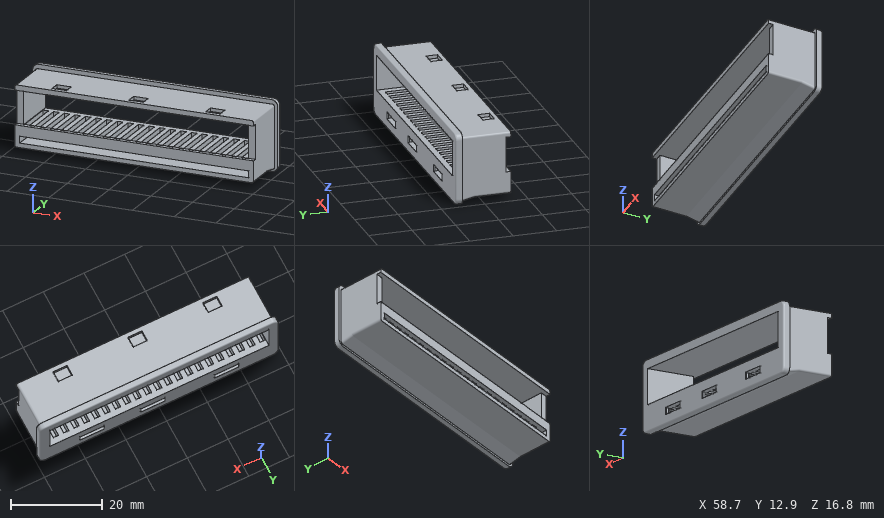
import cadquery as cq

FLANGE_WIDTH = 58.74
FLANGE_HEIGHT = 16.8
FLANGE_THICKNESS = 1.55
FLANGE_CORNER_RADIUS = 1.5
FLANGE_EDGE_RADIUS = 0.4
FLANGE_DRAFT_ANGLE = 1
FLANGE_SIDE_OVERHANG = 0.77

TOTAL_DEPTH = 12.93
BODY_DEPTH = TOTAL_DEPTH - FLANGE_THICKNESS
BODY_WIDTH = FLANGE_WIDTH - 2 * FLANGE_SIDE_OVERHANG
BODY_TOP = 15.75
BODY_BOTTOM = 1.2
BODY_CORNER_RADIUS = 0.55
RAMP_START = 8.3
RAMP_BOTTOM = 0.53

OPENING_WIDTH = 53.8
OPENING_TOP = 14.5
LIP_TOP = 6.4
LIP_THICKNESS = 1.1
FLOOR_DROP = 0.1
FLOOR_TOP = LIP_TOP - FLOOR_DROP

SLOT_WIDTH = 54.8
SLOT_TOP = 3.9
SLOT_BOTTOM = 2.3
SLOT_DEPTH = BODY_DEPTH

WINDOW_CENTRES = (-16.53, 1.55, 16.53)
WINDOW_REAR_WIDTH = 5.85
WINDOW_THROAT_WIDTH = 6.4
FLARE_WIDTH = 8.5
FLARE_DEPTH = 0.55
REAR_TAPER_DEPTH = 0.4

SLIT_COUNT = 21
SLIT_PITCH = 2.54
SLIT_WIDTH = SLIT_PITCH / 2
SLIT_SHIFT = -0.77

POCKET_SPACING = 18.4
POCKET_WIDTH = 3.4
POCKET_LENGTH = 2.6
POCKET_DEPTH = 0.8
POCKET_FRONT = 1.1


def block(x_centre, width, y_front, y_rear, z_bottom, z_top):
    size = (width, y_rear - y_front, z_top - z_bottom)
    base_point = (x_centre, y_front, z_bottom)
    return cq.Workplane("XY", origin=base_point).box(*size, centered=(True, False, False))


def make_flange():
    outline = cq.Workplane("XZ", origin=(0, BODY_DEPTH, FLANGE_HEIGHT / 2)).rect(FLANGE_WIDTH, FLANGE_HEIGHT)
    flange = outline.extrude(-FLANGE_THICKNESS, taper=FLANGE_DRAFT_ANGLE)
    flange = flange.edges("not(|X or |Z)").fillet(FLANGE_CORNER_RADIUS)
    return flange.faces(">Y").edges().fillet(FLANGE_EDGE_RADIUS)


def make_body():
    profile = [
        (0, BODY_BOTTOM),
        (RAMP_START, BODY_BOTTOM),
        (BODY_DEPTH, RAMP_BOTTOM),
        (BODY_DEPTH, BODY_TOP),
        (0, BODY_TOP),
    ]
    body = cq.Workplane("YZ").polyline(profile).close().extrude(BODY_WIDTH / 2, both=True)
    long_edges = body.faces("<X or >X").edges("not |Z")
    return long_edges.fillet(BODY_CORNER_RADIUS)


def make_opening():
    notch = block(0, FLANGE_WIDTH, 0, LIP_THICKNESS, LIP_TOP, OPENING_TOP)
    through = block(0, OPENING_WIDTH, LIP_THICKNESS, TOTAL_DEPTH, FLOOR_TOP, OPENING_TOP)
    return notch.union(through)


def make_card_slot():
    return block(0, SLOT_WIDTH, 0, SLOT_DEPTH, SLOT_BOTTOM, SLOT_TOP)


def make_window(x_centre):
    right_side = [
        (FLARE_WIDTH / 2, SLOT_DEPTH),
        (WINDOW_THROAT_WIDTH / 2, SLOT_DEPTH + FLARE_DEPTH),
        (WINDOW_THROAT_WIDTH / 2, TOTAL_DEPTH - REAR_TAPER_DEPTH),
        (WINDOW_REAR_WIDTH / 2, TOTAL_DEPTH),
    ]
    left_side = [(-x, y) for x, y in reversed(right_side)]
    plan = cq.Workplane("XY", origin=(x_centre, 0, SLOT_BOTTOM)).polyline(right_side + left_side).close()
    return plan.extrude(SLOT_TOP - SLOT_BOTTOM)


def make_slit(index):
    x_centre = (index - (SLIT_COUNT - 1) / 2) * SLIT_PITCH + SLIT_SHIFT
    return block(x_centre, SLIT_WIDTH, LIP_THICKNESS, BODY_DEPTH, SLOT_TOP, FLOOR_TOP)


def make_pocket(x_centre):
    pocket_rear = POCKET_FRONT + POCKET_LENGTH
    return block(x_centre, POCKET_WIDTH, POCKET_FRONT, pocket_rear, BODY_TOP - POCKET_DEPTH, BODY_TOP)


result = make_flange().union(make_body())
result = result.cut(make_opening())
result = result.cut(make_card_slot())
for window_centre in WINDOW_CENTRES:
    result = result.cut(make_window(window_centre))
for slit_index in range(SLIT_COUNT):
    result = result.cut(make_slit(slit_index))
for pocket_centre in (-POCKET_SPACING, 0, POCKET_SPACING):
    result = result.cut(make_pocket(pocket_centre))